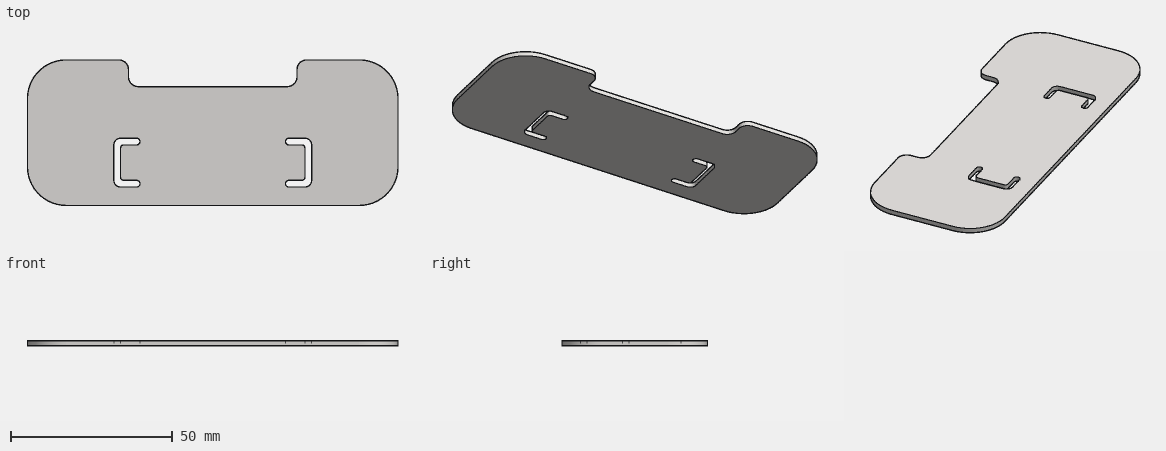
import cadquery as cq

length = 114.5
width = 45.0
thickness = 1.6
corner_radius = 12.0

notch_length = 52.0
notch_depth = 8.25
notch_radius = 3.0

slot_span = 61.0
slot_height = 15.0
slot_width = 2.0
slot_arm = 8.0
slot_outer_radius = 2.0
slot_inner_radius = 1.0
slot_center_y = -9.25


def make_plate():
    """Flat plate with four large rounded corners."""
    plate = cq.Workplane("XY").rect(length, width).extrude(thickness)
    return plate.edges("|Z").fillet(corner_radius)


def cut_notch(plate):
    """Cut the edge notch and round its two mouth and two floor corners."""
    half_notch = notch_length / 2
    edge_y = width / 2
    notch = (
        cq.Workplane("XY")
        .center(0, edge_y - notch_depth / 2)
        .rect(notch_length, notch_depth)
        .extrude(thickness)
    )
    margin = notch_radius / 2
    corners = cq.selectors.BoxSelector(
        (-half_notch - margin, edge_y - notch_depth - margin, -margin),
        (half_notch + margin, edge_y + margin, thickness + margin),
    )
    return plate.cut(notch).edges("|Z").edges(corners).fillet(notch_radius)


def make_left_slot():
    """C-shaped cutter on the -X side, with round arm ends."""
    outer_x = -slot_span / 2
    inner_x = outer_x + slot_width
    tip_x = outer_x + slot_arm
    arm_end_x = tip_x - slot_width / 2
    outer_y = slot_height / 2
    inner_y = outer_y - slot_width
    arm_y = outer_y - slot_width / 2

    profile = (
        cq.Workplane("XY")
        .center(0, slot_center_y)
        .moveTo(arm_end_x, outer_y)
        .lineTo(outer_x + slot_outer_radius, outer_y)
        .radiusArc((outer_x, outer_y - slot_outer_radius), -slot_outer_radius)
        .lineTo(outer_x, slot_outer_radius - outer_y)
        .radiusArc((outer_x + slot_outer_radius, -outer_y), -slot_outer_radius)
        .lineTo(arm_end_x, -outer_y)
        .threePointArc((tip_x, -arm_y), (arm_end_x, -inner_y))
        .lineTo(inner_x + slot_inner_radius, -inner_y)
        .radiusArc((inner_x, slot_inner_radius - inner_y), slot_inner_radius)
        .lineTo(inner_x, inner_y - slot_inner_radius)
        .radiusArc((inner_x + slot_inner_radius, inner_y), slot_inner_radius)
        .lineTo(arm_end_x, inner_y)
        .threePointArc((tip_x, arm_y), (arm_end_x, outer_y))
        .close()
    )
    return profile.extrude(thickness)


left_slot = make_left_slot()
right_slot = left_slot.mirror("YZ")

result = cut_notch(make_plate()).cut(left_slot).cut(right_slot)